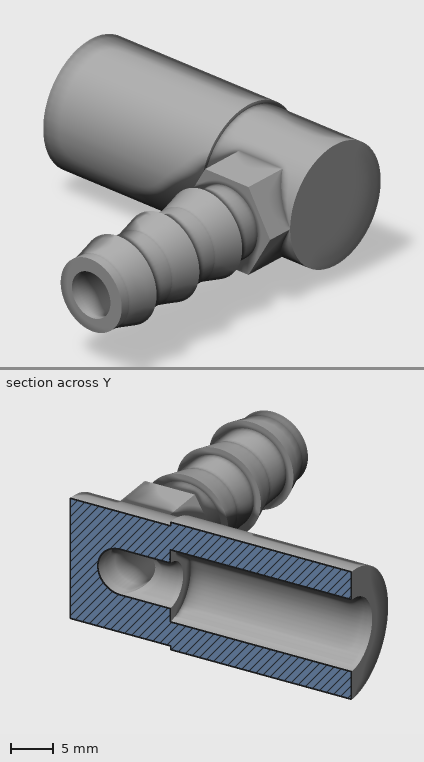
import cadquery as cq


socket_diameter = 17.0
socket_length = 24.5
elbow_diameter = 16.0
elbow_length = 13.5

hex_end_gap = 0.02
hex_across_corners = elbow_length - 2 * hex_end_gap
hex_face_distance = 11.55

overall_width = 44.0
tail_tip_distance = overall_width - socket_diameter / 2
tail_diameter = 9.5
barb_diameter = 11.45
barb_length = 3.75
barb_pitch = 7.55
barb_count = 3
tip_land = 1.3

socket_bore_diameter = tail_diameter
socket_bore_depth = socket_length
passage_diameter = 6.0

elbow_start_x = -elbow_length / 2
socket_start_x = elbow_start_x - socket_length


def cylinder_along_x(diameter, start_x, length):
    return cq.Workplane("YZ", origin=(start_x, 0, 0)).circle(diameter / 2).extrude(length)


def make_body():
    socket = cylinder_along_x(socket_diameter, socket_start_x, socket_length)
    elbow = cylinder_along_x(elbow_diameter, elbow_start_x, elbow_length)
    return socket.union(elbow)


def make_hex_collar():
    return cq.Workplane("XZ").polygon(6, hex_across_corners).extrude(hex_face_distance)


def make_hose_tail():
    root_radius = tail_diameter / 2
    barb_radius = barb_diameter / 2
    profile = cq.Workplane("XY").lineTo(0, -tail_tip_distance).lineTo(root_radius, -tail_tip_distance)
    for index in range(barb_count):
        taper_end_y = -tail_tip_distance + tip_land + index * barb_pitch
        barb_edge_y = taper_end_y + barb_length
        profile = profile.lineTo(root_radius, taper_end_y)
        profile = profile.lineTo(barb_radius, barb_edge_y)
        profile = profile.lineTo(root_radius, barb_edge_y)
    return profile.lineTo(root_radius, 0).close().revolve(360, (0, 0, 0), (0, 1, 0))


def make_passage():
    path = cq.Workplane("XY").moveTo(socket_start_x, 0).lineTo(0, 0).lineTo(0, -tail_tip_distance)
    section = cq.Workplane("YZ", origin=(socket_start_x, 0, 0)).circle(passage_diameter / 2)
    return section.sweep(path, transition="right")


socket_bore = cylinder_along_x(socket_bore_diameter, socket_start_x, socket_bore_depth)

result = (
    make_body()
    .union(make_hex_collar())
    .union(make_hose_tail())
    .cut(socket_bore)
    .cut(make_passage())
)